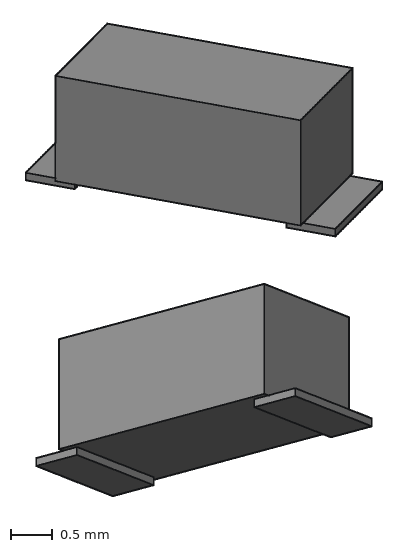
import cadquery as cq

total_length = 4.04
total_height = 1.5

terminal_length = 0.64
terminal_width = 1.445
terminal_thickness = 0.1

housing_length = 3.2
housing_width = 1.6
housing_height = total_height - terminal_thickness


def make_housing():
    """Plain block resting on top of the terminals."""
    return (
        cq.Workplane("XY")
        .workplane(offset=terminal_thickness)
        .rect(housing_length, housing_width)
        .extrude(housing_height)
    )


def make_terminal(side):
    """Flat plate at one end; side is -1 for the -X end and +1 for the +X end."""
    center_x = side * (total_length - terminal_length) / 2
    return (
        cq.Workplane("XY")
        .center(center_x, 0)
        .rect(terminal_length, terminal_width)
        .extrude(terminal_thickness)
    )


housing = make_housing()
terminals = [make_terminal(side) for side in (-1, 1)]

result = cq.Compound.makeCompound([housing.val(), *[terminal.val() for terminal in terminals]])